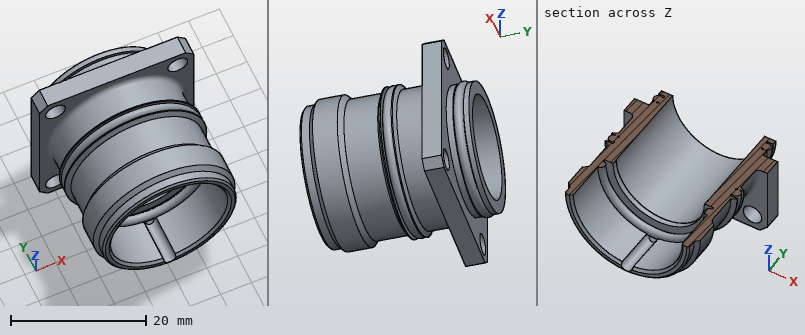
import cadquery as cq
import math

length = 25.8

flange_size = 25.0
flange_front = 19.32
flange_rear = 22.32
corner_chamfer = 1.32
screw_hole_radius = 1.6
screw_hole_offset = 9.9

rim_radius = 10.84
body_radius = 10.7
collar_radius = 11.5
spigot_radius = 9.98

rim_chamfer = 0.3
collar_front = 1.55
collar_rear = 6.8
collar_slope = collar_radius - body_radius
collar_front_slope = collar_radius - rim_radius

body_groove_front = 12.62
body_groove_rear = 14.3
body_groove_radius = 10.25
lip_edge = 0.18
lip_slope = 0.45

spigot_groove_front = 23.32
spigot_groove_rear = 24.97
spigot_groove_radius = 9.0

neck_fillet = 0.75

socket_radius = 9.5
socket_depth = 9.03
bore_radius = 8
bore_entry_radius = 7.95
bore_entry_depth = 0.93
mouth_chamfer = 0.4

seal_section = 0.75
body_seal_y = body_groove_rear - seal_section
body_seal_radius = collar_radius - seal_section
spigot_seal_y = spigot_groove_front + seal_section
spigot_seal_radius = 9.52
socket_seal_y = 8.02
socket_seal_radius = 9.45

keyway_radius = 0.98
keyway_length = 7.12


def make_body():
    """Outer profile revolved about the Y axis as a solid bar."""
    fillet_mid = neck_fillet * (1 - math.sqrt(0.5))
    neck_radius = body_radius + neck_fillet
    profile = (
        cq.Workplane("XY")
        .moveTo(0, 0)
        .lineTo(rim_radius - rim_chamfer, 0)
        .lineTo(rim_radius, rim_chamfer)
        .lineTo(rim_radius, collar_front)
        .lineTo(collar_radius, collar_front + collar_front_slope)
        .lineTo(collar_radius, collar_rear - collar_slope)
        .lineTo(body_radius, collar_rear)
        .lineTo(body_radius, body_groove_front - lip_edge - lip_slope)
        .lineTo(collar_radius, body_groove_front - lip_edge)
        .lineTo(collar_radius, body_groove_front)
        .lineTo(body_groove_radius, body_groove_front)
        .lineTo(body_groove_radius, body_groove_rear)
        .lineTo(collar_radius, body_groove_rear)
        .lineTo(collar_radius, body_groove_rear + lip_edge)
        .lineTo(body_radius, body_groove_rear + lip_edge + lip_slope)
        .lineTo(body_radius, flange_front - neck_fillet)
        .threePointArc(
            (body_radius + fillet_mid, flange_front - fillet_mid),
            (neck_radius, flange_front),
        )
        .lineTo(neck_radius, flange_rear)
        .lineTo(spigot_radius, flange_rear)
        .lineTo(spigot_radius, spigot_groove_front)
        .lineTo(spigot_groove_radius, spigot_groove_front)
        .lineTo(spigot_groove_radius, spigot_groove_rear)
        .lineTo(spigot_radius, spigot_groove_rear)
        .lineTo(spigot_radius, length)
        .lineTo(0, length)
        .close()
    )
    return profile.revolve(360, (0, 0, 0), (0, 1, 0))


def along_y(start):
    """Workplane at Y = start; extrusions from it run towards +Y."""
    return cq.Workplane(cq.Plane((0, start, 0), xDir=(-1, 0, 0), normal=(0, 1, 0)))


def make_flange():
    thickness = flange_rear - flange_front
    hole_spacing = 2 * screw_hole_offset
    return (
        along_y(flange_front)
        .rect(flange_size, flange_size)
        .extrude(thickness)
        .edges("|Y")
        .chamfer(corner_chamfer)
        .cut(
            along_y(flange_front)
            .rect(hole_spacing, hole_spacing, forConstruction=True)
            .vertices()
            .circle(screw_hole_radius)
            .extrude(thickness)
        )
    )


def make_bore():
    """Stepped, chamfer-mouthed hole through the whole part."""
    profile = cq.Workplane("XY").polyline([
        (0, 0),
        (socket_radius + mouth_chamfer, 0),
        (socket_radius, mouth_chamfer),
        (socket_radius, socket_depth),
        (bore_entry_radius, socket_depth),
        (bore_entry_radius, socket_depth + bore_entry_depth),
        (bore_radius, socket_depth + bore_entry_depth),
        (bore_radius, length),
        (0, length),
    ]).close()
    return profile.revolve(360, (0, 0, 0), (0, 1, 0))


def make_keyway():
    """Round-bottomed groove in the lower socket wall, ending in a 45 degree ramp."""
    root = -socket_radius - keyway_radius
    ramp_end = keyway_length + keyway_radius
    side_profile = cq.Workplane("YZ").polyline([
        (0, root),
        (keyway_length, root),
        (ramp_end, -socket_radius),
        (keyway_length, -socket_radius + keyway_radius),
        (0, -socket_radius + keyway_radius),
    ]).close()
    groove = along_y(0).center(0, -socket_radius).circle(keyway_radius).extrude(ramp_end)
    return groove.intersect(side_profile.extrude(keyway_radius, both=True))


def make_seal(y, ring_radius):
    return (
        cq.Workplane("XY")
        .center(ring_radius, y)
        .circle(seal_section)
        .revolve(360, (-ring_radius, 0, 0), (-ring_radius, 1, 0))
    )


result = make_body().union(make_flange()).cut(make_bore()).cut(make_keyway())
for y, ring_radius in (
    (body_seal_y, body_seal_radius),
    (spigot_seal_y, spigot_seal_radius),
    (socket_seal_y, socket_seal_radius),
):
    result = result.union(make_seal(y, ring_radius))